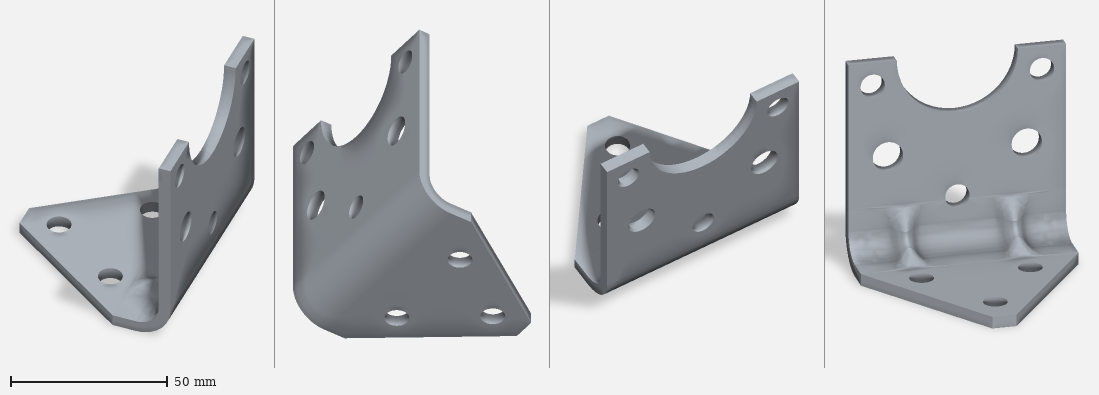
import cadquery as cq

LENGTH = 65.0
HALF_WIDTH = 36.0
HEIGHT = 70.0
THICKNESS = 4.0
INNER_RADIUS = 8.0
OUTER_RADIUS = INNER_RADIUS + THICKNESS
STRIP_LENGTH = 8.0
TIP_HALF_WIDTH = 4.0

RIB_Y = HALF_WIDTH / 2
RIB_HEIGHT = 4.0
RIB_HALF_WIDTH = 5.5

SMALL_HOLE = 8.0
LARGE_HOLE = 10.0
TIP_HOLE_X = 12.0
BASE_HOLE_X = 37.0
BASE_HOLE_Y = RIB_Y
CUTOUT_RADIUS = 20.0
TOP_HOLE_Y = 28.0
TOP_HOLE_Z = HEIGHT - SMALL_HOLE
LARGE_HOLE_Y = 23.0
LARGE_HOLE_Z = HEIGHT - 33.0
CENTER_HOLE_Z = 21.0

BEND_START_X = LENGTH - OUTER_RADIUS
BASE_STRIP_X = BEND_START_X - STRIP_LENGTH
BEND_END_Z = OUTER_RADIUS
WALL_STRIP_Z = BEND_END_Z + STRIP_LENGTH


def base_station(x):
    """Cross-section plane of the base: local x along Y, local y up from the underside."""
    return cq.Plane(origin=(x, 0, 0), xDir=(0, 1, 0), normal=(1, 0, 0))


def wall_station(z):
    """Cross-section plane of the wall: local x along Y, local y inward from the outer face."""
    return cq.Plane(origin=(LENGTH, 0, z), xDir=(0, 1, 0), normal=(0, 0, 1))


def section(plane, ribbed):
    """Half-width sheet section; its inner side carries the rib profile or is flat."""
    sketch = cq.Workplane(plane).moveTo(0, 0).lineTo(0, THICKNESS)
    if ribbed:
        inner_points = [
            (RIB_Y - RIB_HALF_WIDTH, THICKNESS),
            (RIB_Y, THICKNESS + RIB_HEIGHT),
            (RIB_Y + RIB_HALF_WIDTH, THICKNESS),
            (HALF_WIDTH, THICKNESS),
        ]
        level = [(1, 0)] * (len(inner_points) + 1)
        sketch = sketch.spline(inner_points, tangents=level, includeCurrent=True)
    else:
        sketch = sketch.lineTo(HALF_WIDTH, THICKNESS)
    return sketch.lineTo(HALF_WIDTH, 0).close()


def fading_strip(flat_plane, ribbed_plane):
    """Strip whose rib falls in a straight ramp from full height to nothing."""
    flat_wire = section(flat_plane, False).wire().val()
    ribbed_wire = section(ribbed_plane, True).wire().val()
    return cq.Workplane(cq.Solid.makeLoft([flat_wire, ribbed_wire], True))


def base_cylinder(x, y, diameter):
    return cq.Workplane("XY").center(x, y).circle(diameter / 2).extrude(THICKNESS)


def wall_cylinder(y, z, diameter):
    return cq.Workplane(wall_face()).center(y, z).circle(diameter / 2).extrude(THICKNESS)


def wall_face():
    """Inner face of the wall, with local x along Y and local y along Z."""
    return cq.Plane(origin=(LENGTH - THICKNESS, 0, 0), xDir=(0, 1, 0), normal=(1, 0, 0))


def make_base_plate():
    """Tapered half of the base flange with its two hole positions."""
    outline = [
        (0, 0),
        (BASE_STRIP_X, 0),
        (BASE_STRIP_X, HALF_WIDTH),
        (0, TIP_HALF_WIDTH),
    ]
    plate = cq.Workplane("XY").polyline(outline).close().extrude(THICKNESS)
    plate = plate.cut(base_cylinder(TIP_HOLE_X, 0, SMALL_HOLE))
    return plate.cut(base_cylinder(BASE_HOLE_X, BASE_HOLE_Y, SMALL_HOLE))


def make_base_strip():
    return fading_strip(base_station(BASE_STRIP_X), base_station(BEND_START_X))


def make_bend():
    """Quarter-turn of the ribbed section about the bend axis."""
    profile = section(base_station(BEND_START_X), True)
    return profile.revolve(90, (0.7, OUTER_RADIUS), (0, OUTER_RADIUS))


def make_wall_strip():
    strip = fading_strip(wall_station(WALL_STRIP_Z), wall_station(BEND_END_Z))
    return strip.cut(wall_cylinder(0, CENTER_HOLE_Z, SMALL_HOLE))


def make_wall_plate():
    """Half of the wall flange with the round top cutout and its holes."""
    plate = (
        cq.Workplane(wall_face())
        .moveTo(0, WALL_STRIP_Z)
        .rect(HALF_WIDTH, HEIGHT - WALL_STRIP_Z, centered=False)
        .extrude(THICKNESS)
    )
    plate = plate.cut(wall_cylinder(0, HEIGHT, 2 * CUTOUT_RADIUS))
    plate = plate.cut(wall_cylinder(TOP_HOLE_Y, TOP_HOLE_Z, SMALL_HOLE))
    plate = plate.cut(wall_cylinder(LARGE_HOLE_Y, LARGE_HOLE_Z, LARGE_HOLE))
    return plate.cut(wall_cylinder(0, CENTER_HOLE_Z, SMALL_HOLE))


bodies = []
for make_body in (make_base_plate, make_base_strip, make_bend, make_wall_strip, make_wall_plate):
    left_half = make_body()
    right_half = left_half.mirror("XZ")
    bodies += [left_half.val(), right_half.val()]

result = cq.Compound.makeCompound(bodies)